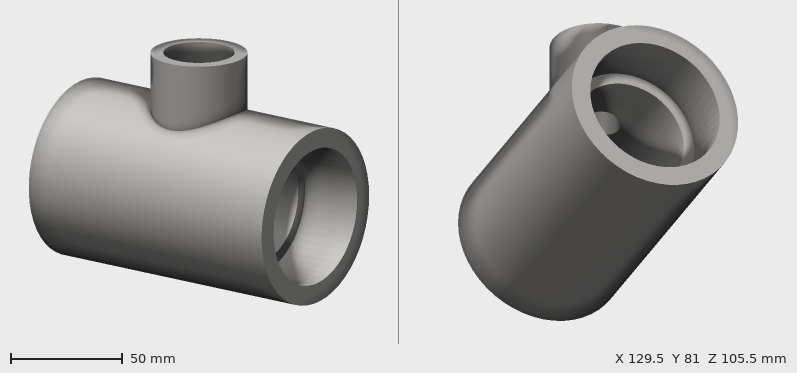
import cadquery as cq

pipe_length = 129.5
pipe_diameter = 81.0
pipe_bore_diameter = 52.7
pipe_socket_diameter = 63.0
pipe_socket_depth = 29.0

overall_height = 105.5
branch_diameter = 43.5
branch_bore_diameter = 19.5
branch_socket_diameter = 32.0
branch_socket_depth = 20.1

branch_top = overall_height - pipe_diameter / 2


def pipe_cylinder(diameter, start, length):
    """Cylinder along +X, beginning at X = start."""
    return cq.Workplane("YZ", origin=(start, 0, 0)).circle(diameter / 2).extrude(length)


def branch_cylinder(diameter, depth):
    """Cylinder along Z, reaching down from the branch top."""
    return cq.Workplane("XY", origin=(0, 0, branch_top)).circle(diameter / 2).extrude(-depth)


body = pipe_cylinder(pipe_diameter, -pipe_length / 2, pipe_length)
body = body.union(branch_cylinder(branch_diameter, branch_top))

body = body.cut(pipe_cylinder(pipe_bore_diameter, -pipe_length / 2, pipe_length))
for socket_start in (-pipe_length / 2, pipe_length / 2 - pipe_socket_depth):
    body = body.cut(pipe_cylinder(pipe_socket_diameter, socket_start, pipe_socket_depth))

body = body.cut(branch_cylinder(branch_bore_diameter, branch_top))
result = body.cut(branch_cylinder(branch_socket_diameter, branch_socket_depth))